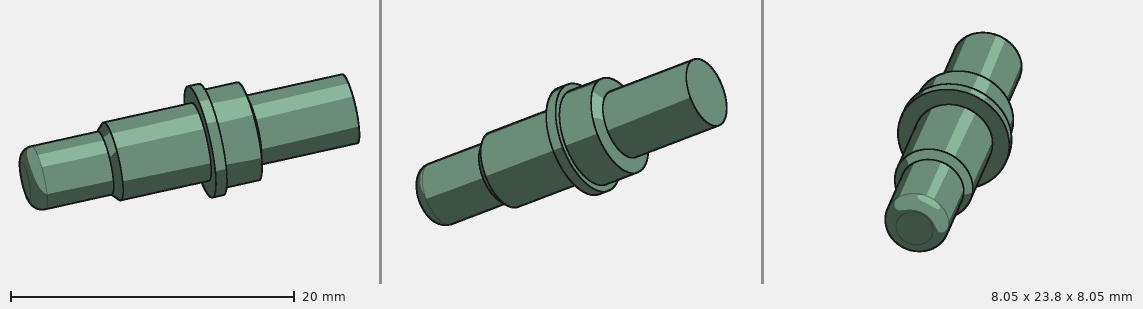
import cadquery as cq

total_length = 23.82

tip_diameter = 4.57
body_diameter = 5.65
flange_diameter = 8.05
collar_diameter = 7.1
tail_diameter = 5.0

tip_length = 5.84
body_length = 7.0
flange_length = 0.8
collar_length = 3.0

tip_radius = 0.95
body_chamfer = (body_diameter - tip_diameter) / 2
collar_taper_length = 0.29
collar_taper_depth = (collar_diameter - tail_diameter) / 2

tip_end = -total_length / 2
body_start = tip_end + tip_length
flange_start = body_start + body_length
collar_start = flange_start + flange_length
collar_end = collar_start + collar_length
tail_end = total_length / 2


def cylinder(diameter, start, end):
    """Round section about the Y axis, between two stations."""
    return cq.Workplane("XZ", origin=(0, start, 0)).circle(diameter / 2).extrude(start - end)


tip = cylinder(tip_diameter, tip_end, body_start).faces("<Y").edges().fillet(tip_radius)
body = cylinder(body_diameter, body_start, flange_start).faces("<Y").edges().chamfer(body_chamfer)
flange = cylinder(flange_diameter, flange_start, collar_start)
tail = cylinder(tail_diameter, collar_end, tail_end)

collar_radius = collar_diameter / 2
collar = (
    cq.Workplane("XY")
    .moveTo(0, collar_start)
    .lineTo(collar_radius, collar_start)
    .lineTo(collar_radius, collar_end - collar_taper_length)
    .lineTo(collar_radius - collar_taper_depth, collar_end)
    .lineTo(0, collar_end)
    .close()
    .revolve(360, (0, 0, 0), (0, 1, 0))
)

result = tip.union(body).union(flange).union(collar).union(tail)